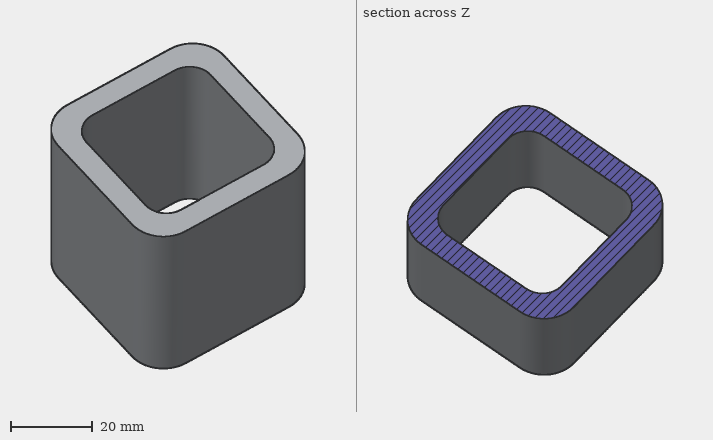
import cadquery as cq

side = 50.0
length = 50.0
wall = 6.3
outer_corner_radius = 1.5 * wall
inner_corner_radius = wall


def rounded_square_bar(width, corner_radius):
    """Solid square bar standing on the XY plane, with rounded long edges."""
    return (
        cq.Workplane("XY")
        .rect(width, width)
        .extrude(length)
        .edges("|Z")
        .fillet(corner_radius)
    )


outer_bar = rounded_square_bar(side, outer_corner_radius)
bore = rounded_square_bar(side - 2 * wall, inner_corner_radius)

result = outer_bar.cut(bore)